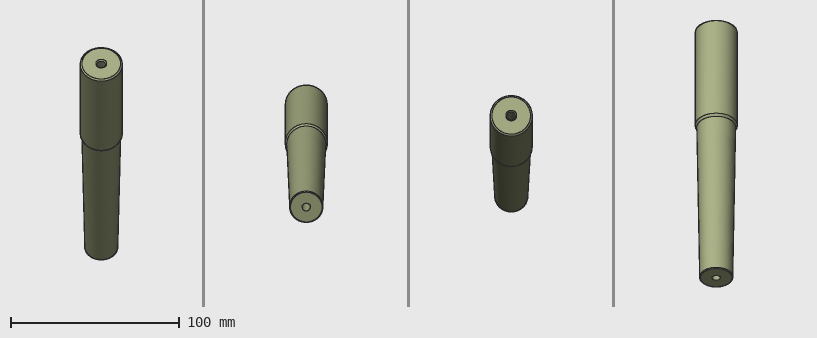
import cadquery as cq

total_length = 180
shank_diameter = 25.0
shank_length = 68.5
shoulder_height = 1.6
taper_top_diameter = 23.2
taper_end_diameter = 19.8
top_chamfer_width = 1.0
top_chamfer_height = 0.7
end_chamfer = 0.5
bore_diameter = 4.9
bore_mouth_diameter = 6.5
countersink_depth = 0.9

shank_radius = shank_diameter / 2
taper_top_radius = taper_top_diameter / 2
taper_end_radius = taper_end_diameter / 2
bore_radius = bore_diameter / 2
bore_mouth_radius = bore_mouth_diameter / 2
shank_bottom = total_length - shank_length
taper_top = shank_bottom - shoulder_height


def turned_body():
    """Cylindrical shank, conical shoulder and slowly tapering lower stem."""
    return (
        cq.Workplane("XZ")
        .moveTo(0, 0)
        .lineTo(taper_end_radius - end_chamfer, 0)
        .lineTo(taper_end_radius, end_chamfer)
        .lineTo(taper_top_radius, taper_top)
        .lineTo(shank_radius, shank_bottom)
        .lineTo(shank_radius, total_length - top_chamfer_height)
        .lineTo(shank_radius - top_chamfer_width, total_length)
        .lineTo(0, total_length)
        .close()
        .revolve(360, (0, 0, 0), (0, 1, 0))
    )


def axial_bore():
    """Through bore with a conical countersink at the top."""
    return (
        cq.Workplane("XZ")
        .moveTo(0, 0)
        .lineTo(bore_radius, 0)
        .lineTo(bore_radius, total_length - countersink_depth)
        .lineTo(bore_mouth_radius, total_length)
        .lineTo(0, total_length)
        .close()
        .revolve(360, (0, 0, 0), (0, 1, 0))
    )


result = turned_body().cut(axial_bore())